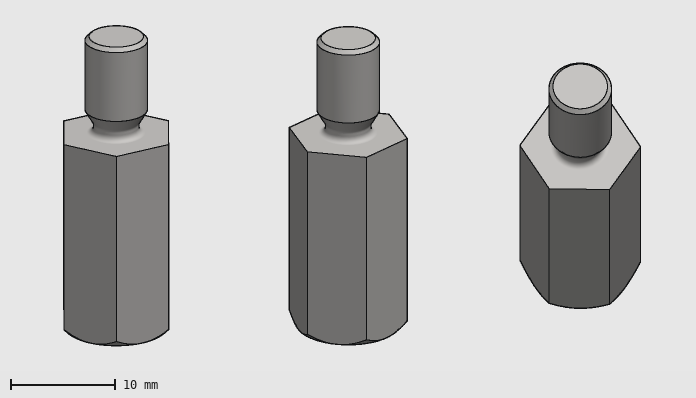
import cadquery as cq
import math

across_flats = 10.0
body_height = 20.0
across_corners = across_flats / math.cos(math.radians(30))
corner_radius = across_corners / 2

bottom_face_radius = across_flats / 2
corner_chamfer = corner_radius - bottom_face_radius

stud_radius = 6.0 / 2
stud_length = 10.0
root_depth = 1.0
tip_chamfer = 0.4

neck_radius = 4.38 / 2
neck_fillet = 0.6
runout_height = 2.45
runout_angle = math.radians(30)


def make_body():
    """Hexagonal prism with its bottom corners trimmed by a cone."""
    prism = cq.Workplane("XY").polygon(6, across_corners).extrude(body_height)
    clearance = 1.0
    envelope = (
        cq.Workplane("XZ")
        .lineTo(bottom_face_radius, 0)
        .lineTo(corner_radius + clearance, corner_chamfer + clearance)
        .lineTo(corner_radius + clearance, body_height + clearance)
        .lineTo(0, body_height + clearance)
        .close()
        .revolve(360, (0, 0, 0), (0, 1, 0))
    )
    return prism.intersect(envelope)


def fillet_point(center_radius, center_z, angle):
    """Point of the neck fillet at an angle from the inward radial direction, positive upward."""
    return (
        center_radius - neck_fillet * math.cos(angle),
        center_z + neck_fillet * math.sin(angle),
    )


def make_stud():
    """Round stud with a filleted undercut, a conical runout and a chamfered tip."""
    fillet_center_radius = neck_radius + neck_fillet
    lower_center_z = body_height + neck_fillet
    lower_start = (fillet_center_radius, body_height)
    lower_middle = fillet_point(fillet_center_radius, lower_center_z, math.radians(-45))
    lower_end = (neck_radius, lower_center_z)

    runout_top = body_height + runout_height
    cone_start_radius = fillet_center_radius - neck_fillet * math.cos(runout_angle)
    cone_height = (stud_radius - cone_start_radius) / math.tan(runout_angle)
    upper_center_z = runout_top - cone_height - neck_fillet * math.sin(runout_angle)
    upper_start = (neck_radius, upper_center_z)
    upper_middle = fillet_point(fillet_center_radius, upper_center_z, runout_angle / 2)
    upper_end = fillet_point(fillet_center_radius, upper_center_z, runout_angle)

    root_z = body_height - root_depth
    tip_z = body_height + stud_length
    return (
        cq.Workplane("XZ")
        .moveTo(0, root_z)
        .lineTo(fillet_center_radius, root_z)
        .lineTo(*lower_start)
        .threePointArc(lower_middle, lower_end)
        .lineTo(*upper_start)
        .threePointArc(upper_middle, upper_end)
        .lineTo(stud_radius, runout_top)
        .lineTo(stud_radius, tip_z - tip_chamfer)
        .lineTo(stud_radius - tip_chamfer, tip_z)
        .lineTo(0, tip_z)
        .close()
        .revolve(360, (0, 0, 0), (0, 1, 0))
    )


result = make_body().union(make_stud())